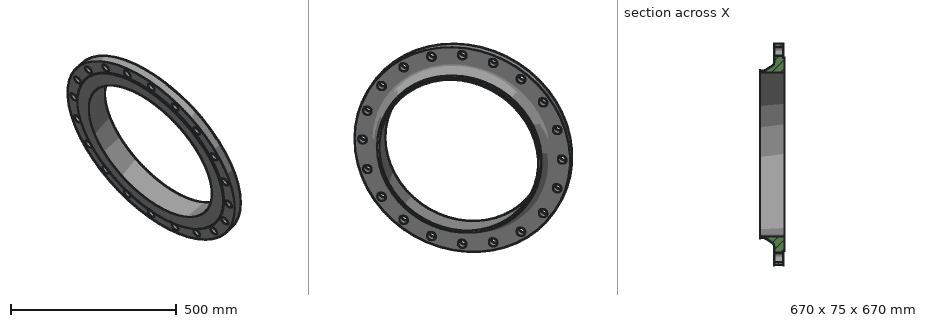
import cadquery as cq
import math

flange_radius = 335.0
bore_radius = 246.5
raised_face_radius = 292.0
neck_radius = 254.0
hub_base_radius = 271.5

total_length = 75.0
raised_face_height = 4.0
flange_thickness = 28.0
neck_length = 16.0
fillet_height = 6.0

bolt_count = 20
bolt_circle_radius = 310.0
bolt_hole_diameter = 26.0

front_y = -total_length / 2
flange_front_y = front_y + raised_face_height
flange_back_y = flange_front_y + flange_thickness
neck_end_y = total_length / 2
neck_start_y = neck_end_y - neck_length

cone_angle = math.atan2(hub_base_radius - neck_radius, neck_start_y - flange_back_y)
tangent_length = fillet_height / math.cos(cone_angle)
fillet_top_radius = hub_base_radius - tangent_length * math.sin(cone_angle)
fillet_foot_radius = hub_base_radius + tangent_length


def make_body():
    """Revolve the half section, drawn as (radius, y), about the Y axis."""
    return (
        cq.Workplane("XY")
        .moveTo(bore_radius, front_y)
        .lineTo(raised_face_radius, front_y)
        .lineTo(raised_face_radius, flange_front_y)
        .lineTo(flange_radius, flange_front_y)
        .lineTo(flange_radius, flange_back_y)
        .lineTo(fillet_foot_radius, flange_back_y)
        .tangentArcPoint((fillet_top_radius, flange_back_y + fillet_height), relative=False)
        .lineTo(neck_radius, neck_start_y)
        .lineTo(neck_radius, neck_end_y)
        .lineTo(bore_radius, neck_end_y)
        .close()
        .revolve(360, (0, 0, 0), (0, 1, 0))
    )


def make_bolt_holes():
    """Ring of cylinders passing right through the flange."""
    return (
        cq.Workplane("XZ")
        .polarArray(bolt_circle_radius, 0, 360, bolt_count)
        .circle(bolt_hole_diameter / 2)
        .extrude(total_length / 2, both=True)
    )


result = make_body().cut(make_bolt_holes())